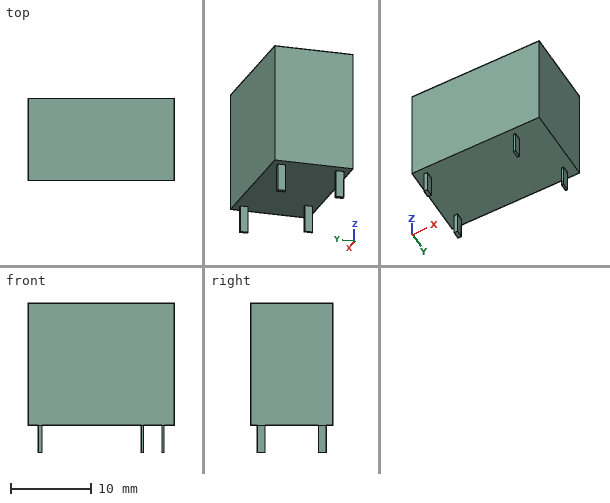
import cadquery as cq

housing_length = 18.2
housing_width = 10.21
overall_height = 18.6
pin_length = 3.4
housing_height = overall_height - pin_length

pin_width = 1.0
coil_pin_thickness = 0.5
contact_pin_thickness = 0.3

pin_row_spacing = 7.6
coil_pin_x = -7.59
coil_to_contact_distance = 12.7
contact_pin_offset = 2.57
front_row_y = -pin_row_spacing / 2
back_row_y = pin_row_spacing / 2
front_contact_x = coil_pin_x + coil_to_contact_distance
back_contact_x = front_contact_x + contact_pin_offset


def make_housing():
    """Plain block whose underside lies on Z = 0."""
    return cq.Workplane("XY").box(
        housing_length, housing_width, housing_height, centered=(True, True, False)
    )


def make_pin(x, y, thickness):
    """Flat pin hanging down from the housing's underside."""
    return cq.Workplane("XY").center(x, y).rect(thickness, pin_width).extrude(-pin_length)


housing = make_housing()

pin_layout = [
    (coil_pin_x, front_row_y, coil_pin_thickness),
    (coil_pin_x, back_row_y, coil_pin_thickness),
    (front_contact_x, front_row_y, contact_pin_thickness),
    (back_contact_x, back_row_y, contact_pin_thickness),
]
pins = [make_pin(x, y, thickness).val() for x, y, thickness in pin_layout]

result = cq.Compound.makeCompound([housing.val(), *pins])